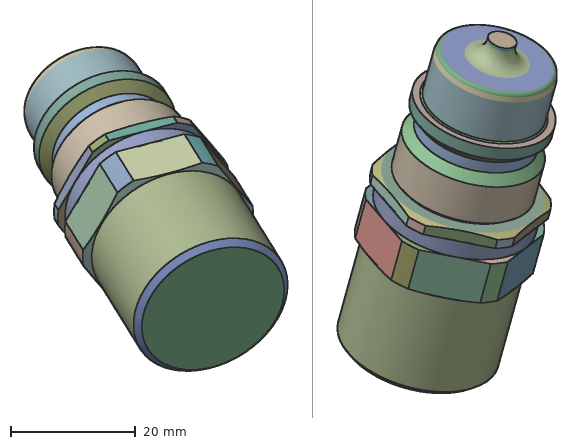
import cadquery as cq
import math


TIP_STRAIGHT_END = 0.65
NOSE_FACE = 3.7
NOSE_TAPER_END = 5.15
COLLAR_START = 13.0
GROOVE_START = 15.25
GROOVE_FLOOR_START = 16.9
GROOVE_FLOOR_END = 18.95
GROOVE_END = 20.6
NECK_START = 27.7
NECK_TAPER_END = 28.05
HEX_START = 28.45
HEX_GAP_START = 30.6
HEX_GAP_END = 33.6
HEX_END = 41.7
TOTAL_LENGTH = 60.7

TIP_RADIUS = 2.35
TIP_FLARE_RADIUS = TIP_RADIUS + NOSE_FACE - TIP_STRAIGHT_END
NOSE_FACE_RADIUS = 9.3
NOSE_RADIUS = 10.2
COLLAR_RADIUS = 11.85
NECK_RADIUS = 10.9
NECK_TAPER_RADIUS = 11.05
REAR_RADIUS = 13.35

NOSE_EDGE_RADIUS = 0.7
NOSE_TAPER_ANGLE = math.radians(13)
COLLAR_ROOT_BEVEL_LENGTH = 0.2
COLLAR_ROOT_BEVEL_HEIGHT = 0.35
REAR_CHAMFER = 1.05

HEX_ACROSS_FLATS = 27.0
HEX_GAP_RADIUS = HEX_ACROSS_FLATS / 2
HEX_ACROSS_CORNERS = 29.5
HEX_CORNER_RADIUS = HEX_ACROSS_CORNERS / 2
HEX_BEVEL_LENGTH = 0.4
HEX_TURN = 30


def point_on_circle(center_x, center_y, radius, angle):
    """Point at the given angle in radians, measured from +X."""
    return (center_x + radius * math.cos(angle), center_y + radius * math.sin(angle))


def turned_body():
    """Revolve the stepped half-profile about the X axis."""
    flare_size = NOSE_FACE - TIP_STRAIGHT_END
    flare_middle = point_on_circle(TIP_STRAIGHT_END, TIP_FLARE_RADIUS, flare_size, math.radians(-45))

    edge_center_x = NOSE_FACE + NOSE_EDGE_RADIUS
    taper_normal = math.pi / 2 + NOSE_TAPER_ANGLE
    edge_end = point_on_circle(edge_center_x, NOSE_FACE_RADIUS, NOSE_EDGE_RADIUS, taper_normal)
    edge_middle_angle = (math.pi + taper_normal) / 2
    edge_middle = point_on_circle(edge_center_x, NOSE_FACE_RADIUS, NOSE_EDGE_RADIUS, edge_middle_angle)

    profile = (
        cq.Workplane("XY")
        .moveTo(0, 0)
        .lineTo(0, TIP_RADIUS)
        .lineTo(TIP_STRAIGHT_END, TIP_RADIUS)
        .threePointArc(flare_middle, (NOSE_FACE, TIP_FLARE_RADIUS))
        .lineTo(NOSE_FACE, NOSE_FACE_RADIUS)
        .threePointArc(edge_middle, edge_end)
        .lineTo(NOSE_TAPER_END, NOSE_RADIUS)
        .lineTo(COLLAR_START - COLLAR_ROOT_BEVEL_LENGTH, NOSE_RADIUS)
        .lineTo(COLLAR_START, NOSE_RADIUS + COLLAR_ROOT_BEVEL_HEIGHT)
        .lineTo(COLLAR_START, COLLAR_RADIUS)
        .lineTo(GROOVE_START, COLLAR_RADIUS)
        .lineTo(GROOVE_FLOOR_START, NOSE_RADIUS)
        .lineTo(GROOVE_FLOOR_END, NOSE_RADIUS)
        .lineTo(GROOVE_END, COLLAR_RADIUS)
        .lineTo(NECK_START, COLLAR_RADIUS)
        .lineTo(NECK_START, NECK_TAPER_RADIUS)
        .lineTo(NECK_TAPER_END, NECK_RADIUS)
        .lineTo(HEX_START, NECK_RADIUS)
        .lineTo(HEX_START, REAR_RADIUS)
        .lineTo(TOTAL_LENGTH - REAR_CHAMFER, REAR_RADIUS)
        .lineTo(TOTAL_LENGTH, REAR_RADIUS - REAR_CHAMFER)
        .lineTo(TOTAL_LENGTH, 0)
        .close()
    )
    return profile.revolve(360, (0, 0, 0), (1, 0, 0))


def double_hexagon():
    """Hexagon with flats facing +Z and -Z, trimmed by a turned envelope with a gap."""
    prism = (
        cq.Workplane("YZ")
        .workplane(offset=HEX_START)
        .polygon(6, HEX_ACROSS_FLATS, circumscribed=True)
        .extrude(HEX_END - HEX_START)
        .rotate((0, 0, 0), (1, 0, 0), HEX_TURN)
    )
    envelope = (
        cq.Workplane("XY")
        .moveTo(HEX_START, 0)
        .lineTo(HEX_START, REAR_RADIUS)
        .lineTo(HEX_START + HEX_BEVEL_LENGTH, HEX_CORNER_RADIUS)
        .lineTo(HEX_GAP_START, HEX_CORNER_RADIUS)
        .lineTo(HEX_GAP_START, HEX_GAP_RADIUS)
        .lineTo(HEX_GAP_END, HEX_GAP_RADIUS)
        .lineTo(HEX_GAP_END, HEX_CORNER_RADIUS)
        .lineTo(HEX_END - HEX_BEVEL_LENGTH, HEX_CORNER_RADIUS)
        .lineTo(HEX_END, REAR_RADIUS)
        .lineTo(HEX_END, 0)
        .close()
        .revolve(360, (0, 0, 0), (1, 0, 0))
    )
    return prism.intersect(envelope)


result = turned_body().union(double_hexagon())